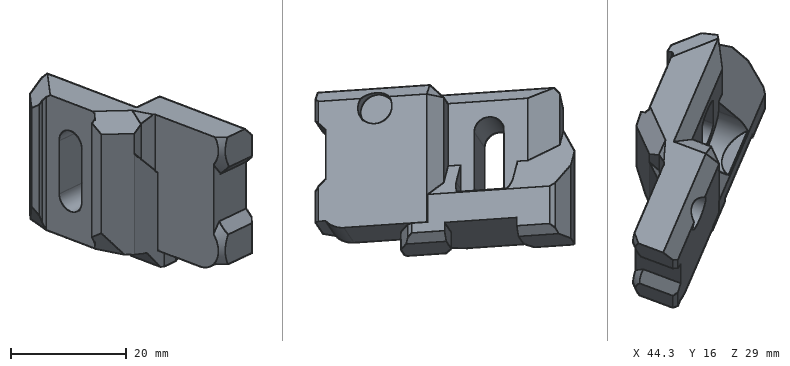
import cadquery as cq
import math

LENGTH = 44.3
DEPTH = 16.0
HEIGHT = 29.0

LUG_WIDTH = 30.0
LUG_BACK_Y = 15.85
LUG_FRONT_Y = 4.05
BODY_LEFT_X = 2.92
BODY_RIGHT_X = LUG_WIDTH - BODY_LEFT_X
BODY_BOTTOM_Z = 2.95
BODY_BACK_Y = 9.95
SHOULDER_Y = 5.85
RAIL_LEFT_X = BODY_LEFT_X + LUG_FRONT_Y
LUG_TOP_Z = 22.25
LUG_CHAMFER = 1.45
LUG_BACK_Z = 8.3

BOLT_X = 14.8
GROOVE_WIDTH = 12.2
GROOVE_DEPTH = 1.3
GROOVE_CORNER = 0.5
SLOT_WIDTH = 5.23
SLOT_BOTTOM_Z = 8.3
SLOT_TOP_Z = 23.65
RECESS_WIDTH = 10.05
RAMP_DEPTH = 2.6
LIP_Y = 15.6

PLATE_LEFT_X = 22.0
PLATE_FRONT_Y = 7.53
PLATE_BOTTOM_Z = 3.25
PLATE_CHAMFER = 2.5
END_CHAMFER = 0.65
END_NOTCH_DEPTH = 1.95
END_NOTCH_X = LENGTH - END_NOTCH_DEPTH
END_NOTCH_Z = (10.4, 23.2)
TAB_BOTTOM_Z = 4.7
CORNER_RADIUS = 4.3
CORNER_X = 39.15
CORNER_CENTERS_Z = (PLATE_BOTTOM_Z + CORNER_RADIUS, 26.55)
CONE_DEPTH = 1.75
DIMPLE_X = 33.65
DIMPLE_Z = 24.8
DIMPLE_DIAMETER = 6.0
DIMPLE_DEPTH = 2.45

RAIL_CHAMFER = 2.95
MARGIN = 8.85


def mirror_x(points):
    """Mirror plan or space points about the middle of the clamp."""
    return [(LUG_WIDTH - x, *rest) for x, *rest in points]


def plan_prism(points, bottom, top):
    return cq.Workplane("XY").workplane(offset=bottom).polyline(points).close().extrude(top - bottom)


def side_prism(points, left, right):
    """Extrude a (Y, Z) outline along X."""
    return cq.Workplane("YZ").workplane(offset=left).polyline(points).close().extrude(right - left)


def front_prism(points, front, back):
    """Extrude an (X, Z) outline along Y."""
    return cq.Workplane("XZ", origin=(0, front, 0)).polyline(points).close().extrude(front - back)


def corner_cutter(points, outside):
    """Block on the `outside` side of the plane through three points."""
    first, second, third = [cq.Vector(*p) for p in points]
    normal = (second - first).cross(third - first)
    if normal.dot(cq.Vector(*outside) - first) < 0:
        normal = normal * -1
    plane = cq.Plane(origin=first, xDir=second - first, normal=normal)
    return cq.Workplane(plane).rect(2 * MARGIN, 2 * MARGIN).extrude(MARGIN)


def make_lug():
    half = [(BODY_LEFT_X, LUG_FRONT_Y), (0, 8.55), (0, 11.55), (2.0, 15.25), (2.85, LUG_BACK_Y)]
    lug = plan_prism(half + mirror_x(half)[::-1], 0, HEIGHT)

    profile = [
        (LUG_FRONT_Y, LUG_TOP_Z), (LUG_BACK_Y, LUG_BACK_Z), (LUG_BACK_Y, LUG_CHAMFER),
        (LUG_BACK_Y - LUG_CHAMFER, 0), (7.95, 0), (5.95, BODY_BOTTOM_Z), (LUG_FRONT_Y, BODY_BOTTOM_Z),
    ]
    lug = lug.intersect(side_prism(profile, 0, LUG_WIDTH))

    gap = [(5.23, 5.95), (6.8, 7.4), (8.65, 10.2), (8.65, DEPTH)]
    return lug.cut(plan_prism(gap + mirror_x(gap)[::-1], 0, BODY_BOTTOM_Z))


def make_body():
    shoulder_x = BODY_RIGHT_X + PLATE_FRONT_Y - SHOULDER_Y
    outline = [
        (RAIL_LEFT_X, 0), (LUG_WIDTH - RAIL_LEFT_X, 0), (BODY_RIGHT_X, LUG_FRONT_Y),
        (BODY_RIGHT_X, SHOULDER_Y),
        (shoulder_x, PLATE_FRONT_Y), (shoulder_x, BODY_BACK_Y), (7.95, BODY_BACK_Y), (BODY_LEFT_X, 7.05),
        (BODY_LEFT_X, LUG_FRONT_Y),
    ]
    body = plan_prism(outline, BODY_BOTTOM_Z, HEIGHT)
    bevel = [
        (PLATE_FRONT_Y, HEIGHT), (BODY_BACK_Y, HEIGHT - (BODY_BACK_Y - PLATE_FRONT_Y)),
        (BODY_BACK_Y, HEIGHT),
    ]
    body = body.cut(side_prism(bevel, 0, LENGTH))

    top_edge_x = 11.4
    top_z = HEIGHT - RAIL_CHAMFER
    top_bevel = [(RAIL_LEFT_X, 0, top_z), (BODY_LEFT_X, LUG_FRONT_Y, top_z), (top_edge_x, 0, HEIGHT)]
    foot_x = 4.1
    foot_bevel = [(RAIL_LEFT_X, 0, 7.17), (8.7, 0, 6.05), (foot_x, RAIL_LEFT_X - foot_x, BODY_BOTTOM_Z)]
    body = body.cut(corner_cutter(top_bevel, (0, 0, HEIGHT)))
    body = body.cut(corner_cutter(foot_bevel, (0, 0, 0)))
    body = body.cut(corner_cutter(mirror_x(foot_bevel), (LUG_WIDTH, 0, 0)))

    facet = [(24.75, 6.1, HEIGHT), (BODY_RIGHT_X, SHOULDER_Y, 27.3), (28.5, 7.3, HEIGHT)]
    outside = (LUG_WIDTH, 0, HEIGHT)
    right_bevel = corner_cutter(mirror_x(top_bevel), outside)
    body = body.cut(right_bevel.intersect(corner_cutter(facet, outside)))

    half = GROOVE_WIDTH / 2
    groove = [
        (BOLT_X - half, 0), (BOLT_X - half, GROOVE_DEPTH - GROOVE_CORNER),
        (BOLT_X - half + GROOVE_CORNER, GROOVE_DEPTH), (BOLT_X + half - GROOVE_CORNER, GROOVE_DEPTH),
        (BOLT_X + half, GROOVE_DEPTH - GROOVE_CORNER), (BOLT_X + half, 0),
    ]
    return body.cut(plan_prism(groove, 0, HEIGHT))


def make_plate():
    plate = cq.Workplane("XY").box(
        LENGTH - PLATE_LEFT_X, DEPTH - PLATE_FRONT_Y, HEIGHT - PLATE_BOTTOM_Z, centered=False
    ).translate((PLATE_LEFT_X, PLATE_FRONT_Y, PLATE_BOTTOM_Z))
    reach = 0.45
    middle = ((PLATE_LEFT_X + LENGTH) / 2, (PLATE_FRONT_Y + DEPTH) / 2, (PLATE_BOTTOM_Z + HEIGHT) / 2)
    edge_middles = [
        (middle[0], DEPTH, HEIGHT), (PLATE_LEFT_X, middle[1], HEIGHT), (PLATE_LEFT_X, DEPTH, middle[2]),
    ]
    edges = cq.Workplane("XY")
    for center in edge_middles:
        low = tuple(c - reach for c in center)
        high = tuple(c + reach for c in center)
        edges = edges.add(plate.edges(cq.selectors.BoxSelector(low, high)))
    plate = plate.newObject(edges.vals()).chamfer(PLATE_CHAMFER)

    back_edge = [(LENGTH - END_CHAMFER, DEPTH), (LENGTH, DEPTH - END_CHAMFER), (LENGTH, DEPTH)]
    plate = plate.cut(plan_prism(back_edge, 0, HEIGHT))

    round_z = CORNER_CENTERS_Z[0]
    tab_x = CORNER_X + math.sqrt(CORNER_RADIUS**2 - (round_z - TAB_BOTTOM_Z) ** 2)
    angle = math.atan2(TAB_BOTTOM_Z - round_z, tab_x - CORNER_X)
    mid_angle = (angle - math.pi / 2) / 2
    arc_middle = (
        CORNER_X + CORNER_RADIUS * math.cos(mid_angle), round_z + CORNER_RADIUS * math.sin(mid_angle),
    )
    lower_corner = (
        cq.Workplane("XZ").moveTo(CORNER_X, PLATE_BOTTOM_Z)
        .threePointArc(arc_middle, (tab_x, TAB_BOTTOM_Z))
        .lineTo(LENGTH, TAB_BOTTOM_Z).lineTo(LENGTH, PLATE_BOTTOM_Z).close().extrude(-DEPTH)
    )
    plate = plate.cut(lower_corner)

    low, high = END_NOTCH_Z
    notch = [
        (LENGTH, low), (END_NOTCH_X, low + END_NOTCH_DEPTH), (END_NOTCH_X, high - END_NOTCH_DEPTH),
        (LENGTH, high),
    ]
    plate = plate.cut(front_prism(notch, 0, DEPTH))

    split_z = (low + high) / 2
    tab_ranges = ((0, split_z), (split_z, HEIGHT))
    for center_z, (bottom, top) in zip(CORNER_CENTERS_Z, tab_ranges):
        cone = cq.Workplane(cq.Solid.makeCone(
            CORNER_RADIUS, CORNER_RADIUS + CONE_DEPTH, CONE_DEPTH,
            pnt=cq.Vector(CORNER_X, PLATE_FRONT_Y, center_z), dir=cq.Vector(0, 1, 0),
        ))
        block = cq.Workplane("XY").box(
            END_NOTCH_DEPTH, CONE_DEPTH, top - bottom, centered=False
        ).translate((END_NOTCH_X, PLATE_FRONT_Y, bottom))
        plate = plate.cut(block.cut(cone))

    dimple = (
        cq.Workplane("XZ", origin=(DIMPLE_X, DEPTH, DIMPLE_Z)).circle(DIMPLE_DIAMETER / 2)
        .extrude(DIMPLE_DEPTH)
    )
    return plate.cut(dimple)


def make_bolt_opening():
    """Slotted through hole with a wider recess in the back of the lug."""
    slot_height = SLOT_TOP_Z - SLOT_BOTTOM_Z
    travel = slot_height - SLOT_WIDTH
    center_z = (SLOT_TOP_Z + SLOT_BOTTOM_Z) / 2
    slot = (
        cq.Workplane("XZ", origin=(BOLT_X, 0, center_z)).slot2D(slot_height, SLOT_WIDTH, 90)
        .extrude(-DEPTH)
    )
    recess = (
        cq.Workplane("XZ", origin=(BOLT_X, BODY_BACK_Y, center_z))
        .slot2D(travel + RECESS_WIDTH, RECESS_WIDTH, 90).extrude(BODY_BACK_Y - DEPTH)
    )
    floor_z = center_z - (travel + RECESS_WIDTH) / 2
    lip = [
        (LIP_Y - RAMP_DEPTH, floor_z), (LIP_Y, floor_z + RAMP_DEPTH),
        (DEPTH, floor_z + RAMP_DEPTH), (DEPTH, floor_z),
    ]
    lip = side_prism(lip, BOLT_X - RECESS_WIDTH / 2, BOLT_X + RECESS_WIDTH / 2)
    return slot.union(recess).cut(lip)


clamp = make_lug().union(make_body()).cut(make_bolt_opening())
result = clamp.union(make_plate())